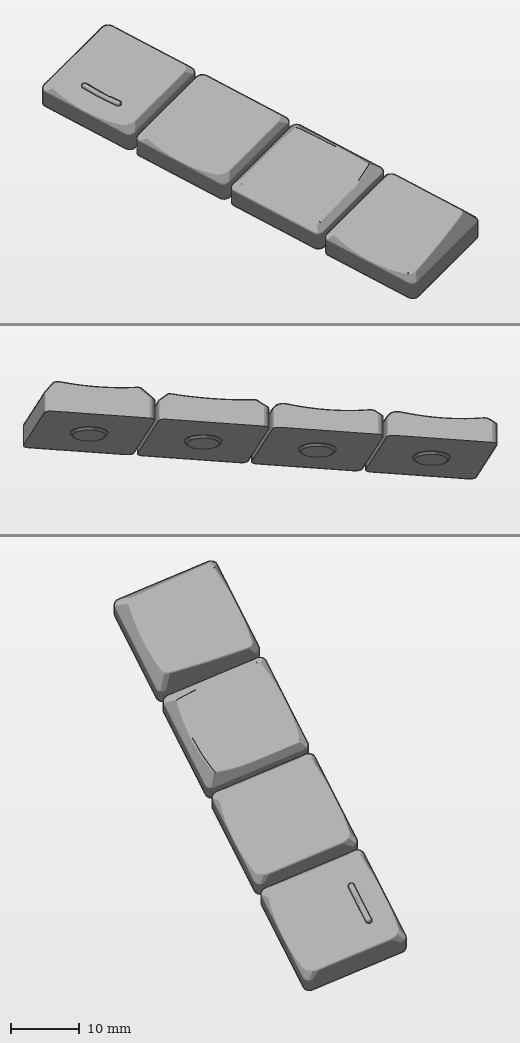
import cadquery as cq
import math

row_length = 67.5
cap_width = 16.5
cap_count = 4
cap_pitch = (row_length - cap_width) / (cap_count - 1)
skirt_height = 3.1
corner_radius = 1.0
shoulder_fillet = 0.35
rim_fillet = 0.4
ramp_rim_fillet = 0.3
stem_diameter = 5.5
stem_length = 0.4
stem_chamfer = 0.35

low_crown_rise = 1.8
ramp_crown_rise = 1.8
tall_crown_rise = 3.1
low_taper = 0.75
ramp_taper = 1.1
tall_taper = 0.75
low_corner_radius = 2.15
ramp_corner_radius = 0.1
tall_corner_radius = 0.9

dish_height = 3.4
low_dish_radius = 31.05
ramp_dish_radius = 33.75
tall_dish_radius = 31.05
dish_cutter_height = 4.05
dish_cutter_half_width = 9.45

ramp_radius = 31.05
ramp_start_y = 0.15

tall_slope_radius = 168.75
tall_slope_angle = 5.5
tall_dish_height = 4.0

bar_span = 6.1
bar_radius = 0.5
bar_y = -4.25


def rounded_square(width, radius, height):
    """Square outline with rounded corners, lying flat at the given height."""
    outline = cq.Sketch().rect(width, width).vertices().fillet(radius)
    return outline.moved(cq.Location(cq.Vector(0, 0, height)))


def cap_blank(crown_rise, taper, top_corner_radius):
    """Skirt and undished crown, with a rounded shoulder between them."""
    top_width = cap_width - 2 * taper * crown_rise
    base = rounded_square(cap_width, corner_radius, 0)
    shoulder = rounded_square(cap_width, corner_radius, skirt_height)
    top = rounded_square(top_width, top_corner_radius, skirt_height + crown_rise)
    skirt = cq.Workplane("XY").placeSketch(base).extrude(skirt_height)
    crown = cq.Workplane("XY").placeSketch(shoulder, top).loft(ruled=True)
    shoulder_edges = cq.selectors.BoxSelector(
        (-cap_width, -cap_width, skirt_height - 0.1),
        (cap_width, cap_width, skirt_height + 0.1),
    )
    return skirt.union(crown).edges(shoulder_edges).fillet(shoulder_fillet)


def dish_profile(radius):
    """Area above a hollow arc in the XZ plane, with its lowest point at the origin."""
    edge_height = radius - math.sqrt(radius**2 - dish_cutter_half_width**2)
    return (
        cq.Workplane("XZ")
        .moveTo(-dish_cutter_half_width, edge_height)
        .threePointArc((0, 0), (dish_cutter_half_width, edge_height))
        .lineTo(dish_cutter_half_width, dish_cutter_height)
        .lineTo(-dish_cutter_half_width, dish_cutter_height)
        .close()
    )


def curved_dish(radius, path_radius):
    """Dish that leaves the origin level along +Y and curves upwards."""
    sweep = math.degrees(math.asin(cap_width / path_radius))
    return dish_profile(radius).revolve(sweep, (0, path_radius, 0), (1, path_radius, 0))


def low_dish():
    """Straight dish along the whole cap."""
    dish = dish_profile(low_dish_radius).extrude(cap_width, both=True)
    return dish.translate((0, 0, dish_height))


def ramp_dish():
    """Straight dish in front that turns into an upward curve behind."""
    front = dish_profile(ramp_dish_radius).extrude(cap_width)
    back = curved_dish(ramp_dish_radius, ramp_radius)
    return front.union(back).translate((0, ramp_start_y, dish_height))


def tall_dish():
    """Shallow dish in both directions, rising to the back."""
    back = curved_dish(tall_dish_radius, tall_slope_radius)
    front = back.mirror("XZ")
    dish = front.union(back)
    return dish.rotate((0, 0, 0), (1, 0, 0), tall_slope_angle).translate((0, 0, tall_dish_height))


def make_cap(blank, dish, fillet=rim_fillet):
    """Cut the dish, round its rim and add the chamfered stem."""
    inside_rim = cq.selectors.BoxSelector(
        (-cap_width / 4, -cap_width / 3, skirt_height),
        (cap_width / 4, cap_width / 3, skirt_height + tall_crown_rise),
    )
    rim_only = cq.selectors.InverseSelector(inside_rim)
    rounded = blank.cut(dish).faces(inside_rim).edges(rim_only).fillet(fillet)
    stem = cq.Workplane("XY").circle(stem_diameter / 2).extrude(-stem_length)
    stem = stem.faces("<Z").chamfer(stem_chamfer)
    return rounded.union(stem)


def homing_bar():
    """Round bar with ball ends, bent to follow the low dish."""
    bend = math.degrees(bar_span / low_dish_radius)
    ball_end = cq.Workplane("XY").sphere(bar_radius).translate((0, bar_y, 0))
    axis_start = (0, 0, low_dish_radius)
    axis_end = (0, 1, low_dish_radius)
    bar = (
        cq.Workplane("YZ")
        .center(bar_y, 0)
        .circle(bar_radius)
        .revolve(bend, (0, low_dish_radius, 0), (1, low_dish_radius, 0))
        .union(ball_end)
        .union(ball_end.rotate(axis_start, axis_end, bend))
        .rotate(axis_start, axis_end, -bend / 2)
    )
    return bar.translate((0, 0, dish_height))


def flat_cap():
    """Low cap with a straight dish."""
    return make_cap(cap_blank(low_crown_rise, low_taper, low_corner_radius), low_dish())


def homing_cap():
    """Low cap carrying the homing bar."""
    return flat_cap().union(homing_bar())


def ramp_cap():
    """Cap whose back half curves upwards."""
    return make_cap(cap_blank(ramp_crown_rise, ramp_taper, ramp_corner_radius), ramp_dish(), ramp_rim_fillet)


def tall_cap():
    """Cap that slopes up all the way to the back."""
    return make_cap(cap_blank(tall_crown_rise, tall_taper, tall_corner_radius), tall_dish())


caps = [homing_cap(), flat_cap(), ramp_cap(), tall_cap()]
placed_caps = [cap.translate((i * cap_pitch, 0, 0)) for i, cap in enumerate(caps)]
result = cq.Compound.makeCompound([cap.solids().val() for cap in placed_caps])